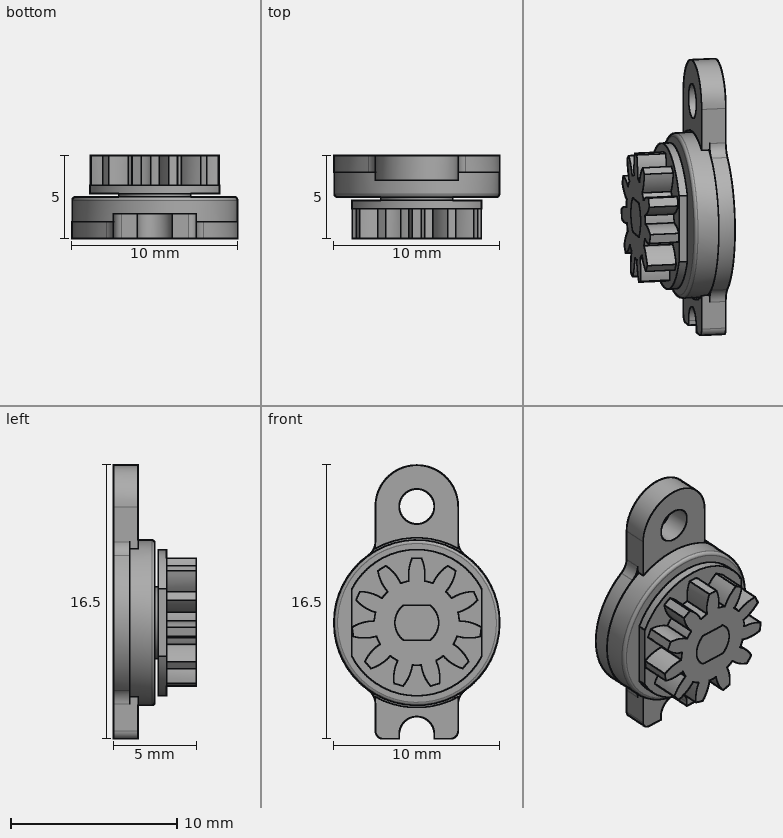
import cadquery as cq


overall_height = 16.5
overall_depth = 5.0

plate_radius = 5.0
plate_depth = 1.0
drum_radius = 4.98
drum_depth = 2.5
rim_fillet = 0.2

lug_width = plate_radius
lug_depth = 1.5
hole_height = 7.0
hole_diameter = 2.1
slot_centre_rise = 0.3
lug_corner_radius = 0.5
lug_root_fillet = 1.0
groove_radius = 5.12

neck_radius = 2.18
neck_length = 0.2
shaft_diameter = 2.64
shaft_flat_width = hole_diameter

collar_radius = 4.4
collar_width = 7.82
collar_thickness = 0.51
tooth_count = 11
tip_radius = 3.9
root_radius = 2.55
tooth_root_width = 0.94
tooth_mid_width = 0.94
tooth_mid_radius = 3.22
tooth_tip_width = 0.56
tooth_embed = 0.25

lug_radius = lug_width / 2
lug_bottom = hole_height + lug_radius - overall_height
slot_height = lug_bottom + slot_centre_rise
collar_back = drum_depth + neck_length
collar_front = collar_back + collar_thickness


def plane_at(depth):
    """Work plane facing -Y at the given depth in front of the back face."""
    return cq.Workplane("XZ", origin=(0, -depth, 0))


def disc(radius, start, end):
    """Round disc on the shaft axis between two depths."""
    return plane_at(start).circle(radius).extrude(end - start)


def lug_strip(start, end):
    """Upright strip with a round top, rounded bottom corners, a hole and an open slot."""
    length = end - start
    strip_height = hole_height - lug_bottom
    strip = (
        plane_at(start)
        .center(0, lug_bottom + strip_height / 2)
        .rect(lug_width, strip_height)
        .extrude(length)
        .edges("|Y and <Z")
        .fillet(lug_corner_radius)
    )
    strip = strip.union(plane_at(start).center(0, hole_height).circle(lug_radius).extrude(length))
    hole = plane_at(start).center(0, hole_height).circle(hole_diameter / 2).extrude(length)
    slot = plane_at(start).center(0, slot_height).circle(hole_diameter / 2).extrude(length)
    slot_mouth = (
        plane_at(start)
        .center(0, lug_bottom + slot_centre_rise / 2)
        .rect(hole_diameter, slot_centre_rise)
        .extrude(length)
    )
    return strip.cut(hole).cut(slot).cut(slot_mouth)


def base_plate():
    """Back layer: round plate and lugs, blended where they meet."""
    plate = disc(plate_radius, 0, plate_depth).union(lug_strip(0, plate_depth))
    junction_reach = lug_width / 2 + lug_root_fillet
    near_junctions = cq.selectors.BoxSelector(
        (-junction_reach, -plate_depth, -plate_radius),
        (junction_reach, 0, plate_radius),
    )
    return plate.edges("|Y").edges(near_junctions).fillet(lug_root_fillet)


def double_flat_shaft(start, end):
    """Round bar with flats on its top and bottom."""
    flats = plane_at(start).rect(shaft_diameter, shaft_flat_width).extrude(end - start)
    return disc(shaft_diameter / 2, start, end).intersect(flats)


def make_housing():
    lug_fronts = lug_strip(plate_depth, lug_depth).cut(disc(groove_radius, plate_depth, lug_depth))
    drum = disc(drum_radius, plate_depth, drum_depth).faces("<Y").edges().fillet(rim_fillet)
    neck = disc(neck_radius, drum_depth, collar_back)
    shaft = double_flat_shaft(collar_back, overall_depth)
    return base_plate().union(lug_fronts).union(drum).union(neck).union(shaft)


def make_tooth():
    """Tooth pointing up (+Z), with curved flanks and a flat tip."""
    foot = root_radius - tooth_embed
    return (
        plane_at(collar_front)
        .moveTo(-tooth_root_width / 2, foot)
        .lineTo(-tooth_root_width / 2, root_radius)
        .threePointArc((-tooth_mid_width / 2, tooth_mid_radius), (-tooth_tip_width / 2, tip_radius))
        .lineTo(tooth_tip_width / 2, tip_radius)
        .threePointArc((tooth_mid_width / 2, tooth_mid_radius), (tooth_root_width / 2, root_radius))
        .lineTo(tooth_root_width / 2, foot)
        .close()
        .extrude(overall_depth - collar_front)
    )


def make_pinion():
    collar_length = collar_front - collar_back
    collar_sides = plane_at(collar_back).rect(collar_width, 2 * collar_radius).extrude(collar_length)
    pinion = disc(collar_radius, collar_back, collar_front).intersect(collar_sides)
    pinion = pinion.union(disc(root_radius, collar_front, overall_depth))
    tooth = make_tooth()
    for i in range(tooth_count):
        pinion = pinion.union(tooth.rotate((0, 0, 0), (0, 1, 0), i * 360 / tooth_count))
    return pinion.cut(double_flat_shaft(collar_back, overall_depth))


housing = make_housing()
pinion = make_pinion()

result = cq.Compound.makeCompound([housing.val(), pinion.val()])